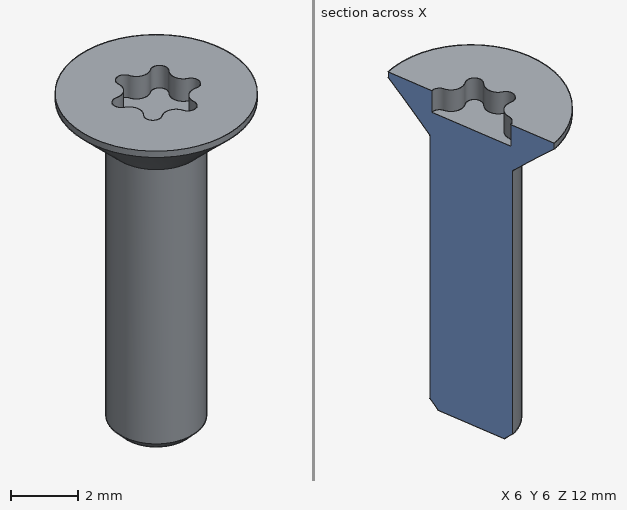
import cadquery as cq
import math

length = 12.0
head_radius = 3.0
shank_radius = 1.5
rim_height = 0.23
cone_height = head_radius - shank_radius

tip_radius = 1.2
tip_height = 0.32

lobe_count = 6
lobe_reach = 1.42
lobe_radius = 0.28
flute_reach = 0.97
socket_depth = 0.82


def polar(radius, angle):
    """Point at a distance and angle (radians) from the screw axis."""
    return (radius * math.cos(angle), radius * math.sin(angle))


def make_body():
    """Revolve half of the screw's section about Z, with the tip at Z = 0."""
    rim_bottom = length - rim_height
    return (
        cq.Workplane("XZ")
        .moveTo(0, 0)
        .lineTo(tip_radius, 0)
        .lineTo(shank_radius, tip_height)
        .lineTo(shank_radius, rim_bottom - cone_height)
        .lineTo(head_radius, rim_bottom)
        .lineTo(head_radius, length)
        .lineTo(0, length)
        .close()
        .revolve(360, (0, 0), (0, 1))
    )


def make_socket():
    """Six-lobed prism whose convex lobes blend tangentially into concave flutes."""
    half_pitch = math.pi / lobe_count
    lobe_center = lobe_reach - lobe_radius

    cosine = math.cos(half_pitch)
    gap_squared = lobe_center**2 + flute_reach**2 - 2 * lobe_center * flute_reach * cosine
    flute_radius = (gap_squared - lobe_radius**2) / (
        2 * (lobe_radius - flute_reach + lobe_center * cosine)
    )
    flute_center = flute_reach + flute_radius

    flute_x, flute_y = polar(flute_center, half_pitch)
    share = lobe_radius / (lobe_radius + flute_radius)
    joint_x = lobe_center + share * (flute_x - lobe_center)
    joint_y = share * flute_y
    joint_reach = math.hypot(joint_x, joint_y)
    joint_angle = math.atan2(joint_y, joint_x)

    first_lobe = math.pi / 2
    outline = cq.Workplane("XY", origin=(0, 0, length - socket_depth)).moveTo(
        *polar(joint_reach, first_lobe - joint_angle)
    )
    for index in range(lobe_count):
        lobe = first_lobe + 2 * half_pitch * index
        flute = lobe + half_pitch
        next_lobe = flute + half_pitch
        outline = outline.threePointArc(
            polar(lobe_reach, lobe), polar(joint_reach, lobe + joint_angle)
        )
        outline = outline.threePointArc(
            polar(flute_reach, flute), polar(joint_reach, next_lobe - joint_angle)
        )
    return outline.close().extrude(socket_depth)


result = make_body().cut(make_socket())